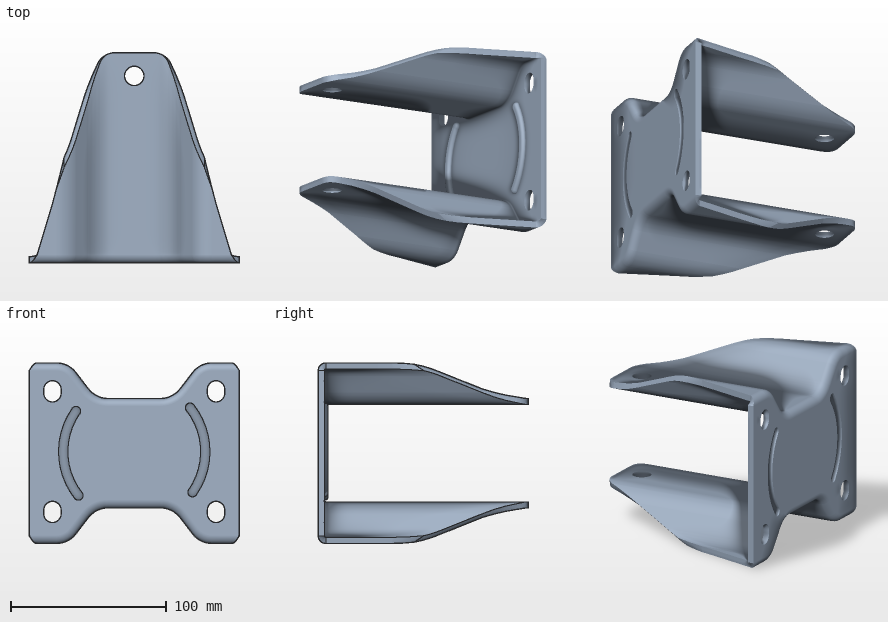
import cadquery as cq
import math


sheet = 4.0
plate_width = 135.02
plate_height = 116.0
depth = 135.0
side_x = plate_width / 2
bend_radius = 5.0

waist_height = 70.4
crest_z = plate_height / 2
valley_z = waist_height / 2
valley_end_x = 17.0
wave_radius = 15.6
wave_angle = math.radians(52.5)
arc_run = wave_radius * math.sin(wave_angle)
arc_rise = wave_radius * (1 - math.cos(wave_angle))
slope_run = (crest_z - valley_z - 2 * arc_rise) / math.tan(wave_angle)
crest_start_x = valley_end_x + slope_run + 2 * arc_run

valley_arc_end = valley_end_x + (wave_radius + sheet) * wave_angle
slope_end = valley_arc_end + slope_run / math.cos(wave_angle)
crest_arc_end = slope_end + (wave_radius - sheet) * wave_angle

tip_corner = (20.1, depth)
inner_knee = (53.8, 68.0)
outer_knee = (55.1, 61.5)
lower_knee = (61.5, 38.4)
edge_base = (71.5, bend_radius)
tip_radius = 13.0
edge_angle = math.atan2(inner_knee[0] - tip_corner[0], depth - inner_knee[1])
tip_tangent = tip_radius * math.tan((math.pi / 2 - edge_angle) / 2)
tip_arc_start = tip_corner[0] - tip_tangent
tip_arc_end = tip_corner[0] + tip_tangent * math.sin(edge_angle)
past_side = edge_base[0] + 10.0

pattern_z = 1.0
pivot_diameter = 12.3
pivot_y = 120.0
mount_spacing_x = 105.0
mount_spacing_z = 77.4
mount_width = 11.0
mount_height = 13.5
groove_radius = 45.6
groove_width = 6.0
groove_depth = 2.5
rib_rounding = 2.4
groove_start_angle = math.radians(145.2)
groove_end_angle = math.radians(218.2)

cut_margin = 1.0
edge_samples = 12


def wave_point(distance, inset):
    """Point (X, Z) of the wave at a distance along its inner face, inset from the outer face."""
    valley_radius = wave_radius + inset
    crest_radius = wave_radius - inset
    if distance <= valley_end_x:
        return distance, valley_z - inset
    if distance <= valley_arc_end:
        angle = (distance - valley_end_x) / (wave_radius + sheet)
        return (
            valley_end_x + valley_radius * math.sin(angle),
            valley_z - inset + valley_radius * (1 - math.cos(angle)),
        )
    if distance < slope_end:
        low_x, low_z = wave_point(valley_arc_end, inset)
        along = distance - valley_arc_end
        return low_x + along * math.cos(wave_angle), low_z + along * math.sin(wave_angle)
    if distance < crest_arc_end:
        angle = (crest_arc_end - distance) / (wave_radius - sheet)
        return (
            crest_start_x - crest_radius * math.sin(angle),
            crest_z - inset - crest_radius * (1 - math.cos(angle)),
        )
    return crest_start_x + distance - crest_arc_end, crest_z - inset


def wave_prism(inset, start_y):
    """Quarter of the block bounded by the wave (X >= 0, Z >= 0), from start_y to the tips."""
    valley_mid = (valley_end_x + valley_arc_end) / 2
    crest_mid = (slope_end + crest_arc_end) / 2
    return (
        cq.Workplane("XZ", origin=(0, start_y, 0))
        .lineTo(*wave_point(0, inset))
        .lineTo(*wave_point(valley_end_x, inset))
        .threePointArc(wave_point(valley_mid, inset), wave_point(valley_arc_end, inset))
        .lineTo(*wave_point(slope_end, inset))
        .threePointArc(wave_point(crest_mid, inset), wave_point(crest_arc_end, inset))
        .lineTo(side_x, crest_z - inset)
        .lineTo(side_x, 0)
        .close()
        .extrude(start_y - depth)
    )


def round_front(block, radius):
    """Round the front rim of a wave prism, leaving its straight cut sides sharp."""
    rim = [
        edge
        for edge in block.faces("<Y").edges().vals()
        if cut_margin / 2 < edge.Center().x < side_x - cut_margin and edge.Center().z > cut_margin
    ]
    return block.newObject(rim).fillet(radius)


def knee_at(inset):
    """Upper knee of the flange edge, which slants through the sheet, at one inset."""
    share = inset / sheet
    return tuple(out + share * (into - out) for out, into in zip(outer_knee, inner_knee))


def edge_y(distance, inset):
    """Y of the flange edge at a distance along the wave and an inset."""
    if distance < tip_arc_end:
        across = distance - tip_arc_start
        return depth - tip_radius + math.sqrt(tip_radius**2 - across**2)
    straight_end = (slope_end, depth - (slope_end - tip_corner[0]) / math.tan(edge_angle))
    corners = [tip_corner, straight_end, knee_at(inset), lower_knee, edge_base]
    for start, end in zip(corners, corners[1:]):
        if distance <= end[0]:
            share = (distance - start[0]) / (end[0] - start[0])
            return start[1] + share * (end[1] - start[1])
    return bend_radius


def edge_curves(inset):
    """Curves of the flange edge at one inset, split where the edge or the wave changes shape."""
    breaks = [
        tip_arc_start,
        valley_end_x,
        tip_arc_end,
        valley_arc_end,
        slope_end,
        knee_at(inset)[0],
        crest_arc_end,
        lower_knee[0],
        edge_base[0],
        past_side,
    ]
    curves = []
    for start, end in zip(breaks, breaks[1:]):
        points = []
        for i in range(edge_samples + 1):
            distance = start + (end - start) * i / edge_samples
            x, z = wave_point(distance, inset)
            points.append(cq.Vector(x, edge_y(distance, inset), z))
        curves.append(cq.Edge.makeSpline(points))
    return curves


def trim_flange(quarter):
    """Cut the flange to its outline with an edge face that runs through the sheet."""
    for outer, inner in zip(edge_curves(-cut_margin), edge_curves(sheet + cut_margin)):
        trim_face = cq.Face.makeRuledSurface(outer, inner)
        cutter = cq.Solid.extrudeLinear(trim_face, cq.Vector(0, depth, 0))
        quarter = quarter.cut(cq.Workplane(cutter))
    return quarter


def bend_curve(radius):
    """Curve at one bend radius that runs from the plate's side to the foot of the flange edge."""
    flange_x = wave_point(edge_base[0], 0)[0]
    points = []
    for i in range(edge_samples + 1):
        share = i / edge_samples
        turn = share * math.pi / 2
        x = side_x + share * (flange_x - side_x)
        y = bend_radius - radius * math.cos(turn)
        z = crest_z - bend_radius + radius * math.sin(turn)
        points.append(cq.Vector(x, y, z))
    return cq.Edge.makeSpline(points)


def trim_bend_corner(quarter):
    """Carry the flange edge through the bend, down to the side of the plate."""
    near_axis = (bend_radius - sheet) / 2
    trim_face = cq.Face.makeRuledSurface(bend_curve(bend_radius + cut_margin), bend_curve(near_axis))
    cutter = cq.Solid.extrudeLinear(trim_face, cq.Vector(side_x, 0, 0))
    return quarter.cut(cq.Workplane(cutter))


def bent_sheet():
    """Whole bracket without holes and grooves, mirrored from one quarter."""
    outside = round_front(wave_prism(0, 0), bend_radius)
    inside = round_front(wave_prism(sheet, sheet), bend_radius - sheet)
    quarter = trim_bend_corner(trim_flange(outside.cut(inside)))
    half = quarter.union(quarter.mirror("YZ"))
    return half.union(half.mirror("XY"))


def groove(start_y, height):
    """Curved bar along the left groove, from start_y towards +Y."""

    def polar(radius, angle):
        return radius * math.cos(angle), pattern_z + radius * math.sin(angle)

    end_radius = groove_width / 2
    outer = groove_radius + end_radius
    inner = groove_radius - end_radius
    middle = (groove_start_angle + groove_end_angle) / 2
    cap_turn = end_radius / groove_radius
    return (
        cq.Workplane("XZ", origin=(0, start_y, 0))
        .moveTo(*polar(outer, groove_start_angle))
        .threePointArc(polar(outer, middle), polar(outer, groove_end_angle))
        .threePointArc(polar(groove_radius, groove_end_angle + cap_turn), polar(inner, groove_end_angle))
        .threePointArc(polar(inner, middle), polar(inner, groove_start_angle))
        .threePointArc(polar(groove_radius, groove_start_angle - cap_turn), polar(outer, groove_start_angle))
        .close()
        .extrude(-height)
    )


def add_grooves(body):
    """Press two grooves into the plate, standing out as ribs on its inner face."""
    axis = (0, 0, pattern_z), (0, 1, pattern_z)
    for turn in (0, 180):
        rib = groove(sheet, groove_depth).faces(">Y").edges().fillet(rib_rounding)
        body = body.union(rib.rotate(*axis, turn))
        body = body.cut(groove(0, groove_depth).rotate(*axis, turn))
    return body


def cut_mount_holes(body):
    """Oblong holes with rounded ends at the corners of the plate, long along Z."""
    holes = (
        cq.Workplane("XZ", origin=(0, 0, pattern_z))
        .rarray(mount_spacing_x, mount_spacing_z, 2, 2)
        .slot2D(mount_height, mount_width, 90)
        .extrude(-sheet)
    )
    return body.cut(holes)


def cut_pivot_hole(body):
    """Pivot hole straight through both flange tips."""
    hole = cq.Workplane("XY", origin=(0, pivot_y, 0)).circle(pivot_diameter / 2).extrude(crest_z, both=True)
    return body.cut(hole)


result = cut_pivot_hole(cut_mount_holes(add_grooves(bent_sheet())))